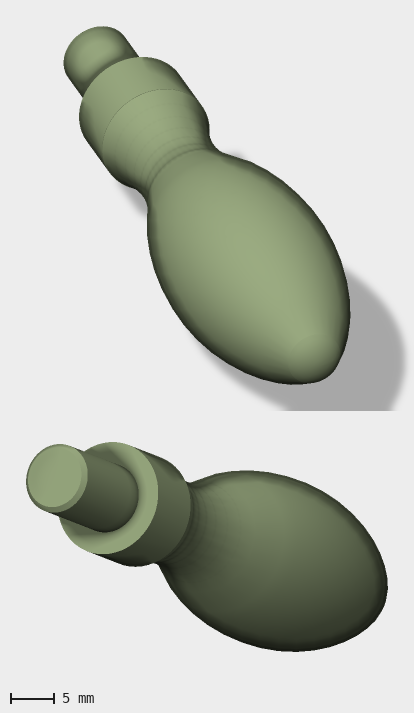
import cadquery as cq
import math

length = 77.0
pin_radius = 4.0
pin_length = 13.0
pin_chamfer = 0.55
collar_radius = 6.55
collar_length = 7.9
neck_x = 28.65
neck_radius = 5.0
neck_arc_radius = 20.55
belly_radius = 9.895
belly_arc_radius = 41.2

collar_end = pin_length + collar_length

neck_center_r = neck_radius + neck_arc_radius
belly_center_r = belly_radius - belly_arc_radius
center_distance = neck_arc_radius + belly_arc_radius
belly_x = neck_x + math.sqrt(center_distance**2 - (neck_center_r - belly_center_r) ** 2)

reach = length - belly_x
tip_radius = (reach**2 + belly_center_r**2 - belly_arc_radius**2) / (2 * (reach - belly_arc_radius))
tip_x = length - tip_radius


def neck_height(x):
    """Radius of the neck surface at position x."""
    return neck_center_r - math.sqrt(neck_arc_radius**2 - (x - neck_x) ** 2)


neck_end_x = neck_x + (belly_x - neck_x) * neck_arc_radius / center_distance
tip_direction = math.atan2(-belly_center_r, tip_x - belly_x)
tip_start = (
    tip_x + tip_radius * math.cos(tip_direction),
    tip_radius * math.sin(tip_direction),
)
tip_middle = (
    tip_x + tip_radius * math.cos(tip_direction / 2),
    tip_radius * math.sin(tip_direction / 2),
)

profile = (
    cq.Workplane("XY")
    .lineTo(0, pin_radius - pin_chamfer)
    .lineTo(pin_chamfer, pin_radius)
    .lineTo(pin_length, pin_radius)
    .lineTo(pin_length, collar_radius)
    .lineTo(collar_end, collar_radius)
    .lineTo(collar_end, neck_height(collar_end))
    .threePointArc((neck_x, neck_radius), (neck_end_x, neck_height(neck_end_x)))
    .threePointArc((belly_x, belly_radius), tip_start)
    .threePointArc(tip_middle, (length, 0))
    .close()
)
result = profile.revolve(360, (0, 0, 0), (1, 0, 0))